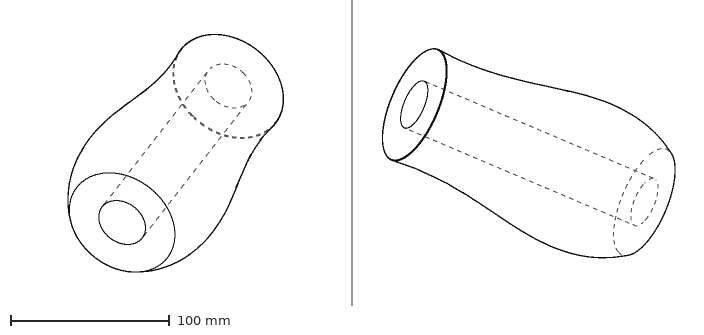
import cadquery as cq

length = 172.0
bore_diameter = 32.0
front_diameter = 72.4
belly_diameter = 97.5
neck_diameter = 73.8
back_diameter = 76.0
back_chamfer = 0.5

belly_station = 51.0
shoulder_station = 97.0
shoulder_diameter = 84.9
neck_station = 150.0


def make_body():
    """Solid of revolution about Y with a smooth belly and neck."""
    profile = (
        cq.Workplane("XY")
        .lineTo(front_diameter / 2, 0)
        .spline(
            [
                (belly_diameter / 2, belly_station),
                (shoulder_diameter / 2, shoulder_station),
                (neck_diameter / 2, neck_station),
                (back_diameter / 2, length),
            ],
            includeCurrent=True,
        )
        .lineTo(0, length)
        .close()
    )
    return profile.revolve(360, (0, 0, 0), (0, 1, 0))


def make_bore():
    """Straight hole through the full length."""
    return cq.Workplane("XZ").circle(bore_diameter / 2).extrude(-length)


body = make_body().faces(">Y").edges().chamfer(back_chamfer)
result = body.cut(make_bore())